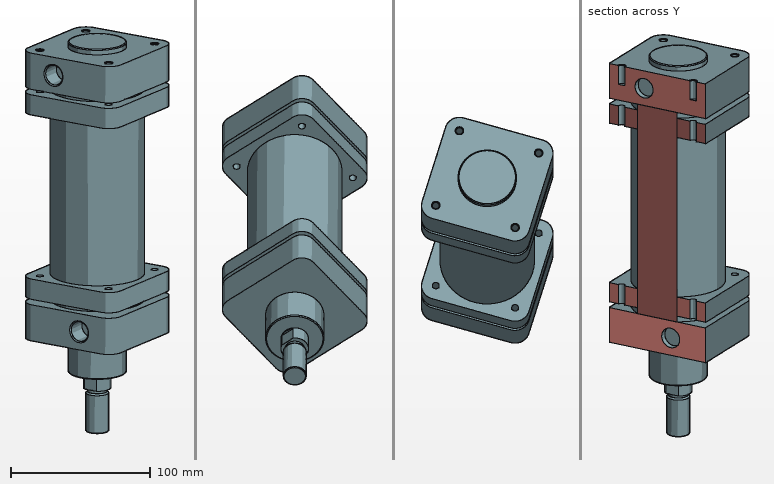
import cadquery as cq

TOTAL_LENGTH = 291.0
BLOCK_WIDTH = 80.0
CORNER_RADIUS = 10.5

BLOCK_HEIGHT = 27.0
FLANGE_HEIGHT = 15.0
FLANGE_GAP = 4.0
REAR_BOSS_HEIGHT = 4.0
BARREL_EXPOSED_LENGTH = 122.5

BARREL_DIAMETER = 68.0
BOSS_DIAMETER = 42.0
BOSS_CHAMFER = 0.73

ROD_LENGTH = 44.2
ROD_DIAMETER = 19.8
ROD_SHOULDER_LENGTH = 12.0
ROD_COLLAR_LENGTH = 1.0
FLATS_WIDTH = 17.0
NECK_DIAMETER = 14.0
NECK_LENGTH = 2.5
THREAD_DIAMETER = 16.5
THREAD_TIP_CHAMFER = 0.5
THREAD_NECK_CHAMFER = 1.2

PORT_DIAMETER = 14.5
PORT_DEPTH = 14.5
PORT_CHAMFER = 1.0
PORT_OFFSET = 11.0

SCREW_SPACING = 59.5
BLOCK_SCREW_DIAMETER = 5.0
BLOCK_SCREW_CHAMFER = 0.5
BLOCK_SCREW_DEPTH = 14.5
FLANGE_SCREW_DIAMETER = 5.0

BARREL_LENGTH = BARREL_EXPOSED_LENGTH + 2 * (FLANGE_HEIGHT + FLANGE_GAP)
CAP_BOTTOM = TOTAL_LENGTH - REAR_BOSS_HEIGHT - BLOCK_HEIGHT
BARREL_BOTTOM = CAP_BOTTOM - BARREL_LENGTH
HEAD_BOTTOM = BARREL_BOTTOM - BLOCK_HEIGHT
FRONT_BOSS_HEIGHT = HEAD_BOTTOM - ROD_LENGTH
FLANGE_BOTTOMS = [
    BARREL_BOTTOM + FLANGE_GAP,
    CAP_BOTTOM - FLANGE_GAP - FLANGE_HEIGHT,
]


def cylinder(diameter, bottom, height):
    return cq.Workplane("XY").workplane(offset=bottom).circle(diameter / 2).extrude(height)


def square_block(bottom, height):
    """Square block centred on the axis, with rounded upright corners."""
    block = cq.Workplane("XY").workplane(offset=bottom).rect(BLOCK_WIDTH, BLOCK_WIDTH).extrude(height)
    return block.edges("|Z").fillet(CORNER_RADIUS)


def cut_port(block, x, z):
    """Blind port with a chamfered mouth, drilled from the -Y face."""
    mouth = cq.Workplane("XZ", origin=(x, -BLOCK_WIDTH / 2, z))
    bore = mouth.circle(PORT_DIAMETER / 2).extrude(-PORT_DEPTH)
    countersink = (
        mouth.circle(PORT_DIAMETER / 2 + PORT_CHAMFER)
        .workplane(offset=-PORT_CHAMFER)
        .circle(PORT_DIAMETER / 2)
        .loft()
    )
    return block.cut(bore).cut(countersink)


def make_head():
    """Front end block: boss pointing down, port to the +X side of the axis."""
    boss = cylinder(BOSS_DIAMETER, ROD_LENGTH, FRONT_BOSS_HEIGHT).faces("<Z").chamfer(BOSS_CHAMFER)
    head = square_block(HEAD_BOTTOM, BLOCK_HEIGHT).union(boss)
    return cut_port(head, PORT_OFFSET, HEAD_BOTTOM + BLOCK_HEIGHT / 2)


def make_cap():
    """Rear end block: low boss on top, port to the -X side, four countersunk screw holes."""
    block_top = CAP_BOTTOM + BLOCK_HEIGHT
    boss = cylinder(BOSS_DIAMETER, block_top, REAR_BOSS_HEIGHT).faces(">Z").chamfer(BOSS_CHAMFER)
    cap = (
        square_block(CAP_BOTTOM, BLOCK_HEIGHT)
        .faces(">Z").workplane()
        .rect(SCREW_SPACING, SCREW_SPACING, forConstruction=True).vertices()
        .cskHole(BLOCK_SCREW_DIAMETER, BLOCK_SCREW_DIAMETER + 2 * BLOCK_SCREW_CHAMFER, 90, BLOCK_SCREW_DEPTH)
    )
    return cut_port(cap.union(boss), -PORT_OFFSET, CAP_BOTTOM + BLOCK_HEIGHT / 2)


def make_flange(bottom):
    """Square flange around the barrel with four plain screw holes."""
    return (
        square_block(bottom, FLANGE_HEIGHT)
        .faces(">Z").workplane()
        .hole(BARREL_DIAMETER)
        .faces(">Z").workplane()
        .rect(SCREW_SPACING, SCREW_SPACING, forConstruction=True).vertices()
        .hole(FLANGE_SCREW_DIAMETER)
    )


def make_barrel():
    return cylinder(BARREL_DIAMETER, BARREL_BOTTOM, BARREL_LENGTH)


def make_rod():
    """Rod end: shoulder with two wrench flats, undercut neck and thread."""
    shoulder_bottom = ROD_LENGTH - ROD_SHOULDER_LENGTH
    thread_length = shoulder_bottom - NECK_LENGTH
    flats_length = ROD_SHOULDER_LENGTH - ROD_COLLAR_LENGTH

    collar = cylinder(ROD_DIAMETER, ROD_LENGTH - ROD_COLLAR_LENGTH, ROD_COLLAR_LENGTH)
    flats_slab = (
        cq.Workplane("XY").workplane(offset=shoulder_bottom)
        .rect(2 * ROD_DIAMETER, FLATS_WIDTH)
        .extrude(flats_length)
    )
    flats = cylinder(ROD_DIAMETER, shoulder_bottom, flats_length).intersect(flats_slab)
    neck = cylinder(NECK_DIAMETER, thread_length, NECK_LENGTH)
    thread = (
        cylinder(THREAD_DIAMETER, 0, thread_length)
        .faces("<Z").chamfer(THREAD_TIP_CHAMFER)
        .faces(">Z").chamfer(THREAD_NECK_CHAMFER)
    )
    return collar.union(flats).union(neck).union(thread)


head = make_head()
cap = make_cap()
barrel = make_barrel()
rod = make_rod()
flanges = [make_flange(bottom) for bottom in FLANGE_BOTTOMS]

result = cq.Compound.makeCompound(
    [head.val(), cap.val(), barrel.val(), rod.val(), *[flange.val() for flange in flanges]]
)